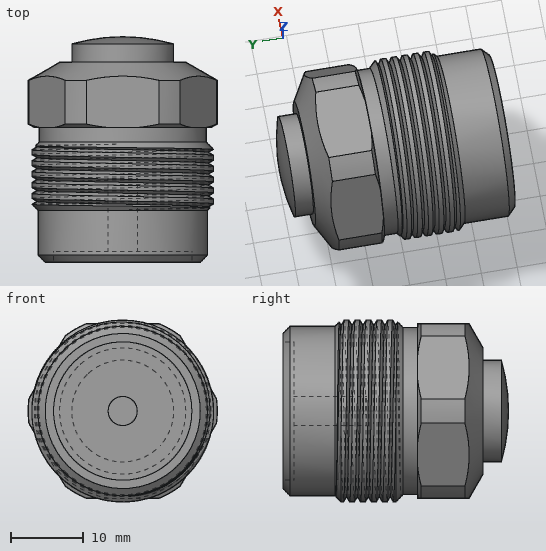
import cadquery as cq
import math


FRONT_CHAMFER = 1.0
SKIRT_END = 7.15
NECK_START = 16.5
HEX_START = 18.5
HEX_LOWER_CORNER = 19.0
HEX_UPPER_CORNER = 25.0
HEX_END = 27.5
BOSS_END = 30.0
OVERALL_LENGTH = 31.0

SKIRT_RADIUS = 11.65
THREAD_RADIUS = 12.5
NECK_RADIUS = 11.5
HEX_CORNER_RADIUS = 13.0
BOSS_RADIUS = 7.0

HEX_SIDES = 6
ACROSS_FLATS = 24.0
HEX_BEVEL_ANGLE = 30.0

PITCH = 1.5
THREAD_TURNS = 7
GROOVE_WIDTH = 0.85
GROOVE_HALF_ANGLE = 30.0
GROOVE_START = 6.12
GROOVE_OVERCUT = 0.2

RECESS_RADIUS = 9.5
RECESS_DEPTH = 1.5
HOLE_RADIUS = 2.0
HOLE_DEPTH = 10.0


def revolve_about_y(outline):
    """Close a half outline and turn it a full revolution about the Y axis."""
    return outline.close().revolve(360, (0, 0, 0), (0, 1, 0))


def make_body():
    """Revolved skirt, threaded blank and neck, up to the hexagon, with 45 degree lead-ins."""
    crest_start = SKIRT_END + THREAD_RADIUS - SKIRT_RADIUS
    crest_end = NECK_START - (THREAD_RADIUS - NECK_RADIUS)
    profile = [
        (0, 0),
        (SKIRT_RADIUS - FRONT_CHAMFER, 0),
        (SKIRT_RADIUS, FRONT_CHAMFER),
        (SKIRT_RADIUS, SKIRT_END),
        (THREAD_RADIUS, crest_start),
        (THREAD_RADIUS, crest_end),
        (NECK_RADIUS, NECK_START),
        (NECK_RADIUS, HEX_START),
        (0, HEX_START),
    ]
    return revolve_about_y(cq.Workplane("XY").polyline(profile))


def make_hex():
    """Hexagon with flats facing +Z and -Z, trimmed by a bevelled turned blank."""
    bevel_run = 1 / math.tan(math.radians(HEX_BEVEL_ANGLE))
    lower_radius = HEX_CORNER_RADIUS - (HEX_LOWER_CORNER - HEX_START) * bevel_run
    upper_radius = HEX_CORNER_RADIUS - (HEX_END - HEX_UPPER_CORNER) * bevel_run
    profile = [
        (0, HEX_START),
        (lower_radius, HEX_START),
        (HEX_CORNER_RADIUS, HEX_LOWER_CORNER),
        (HEX_CORNER_RADIUS, HEX_UPPER_CORNER),
        (upper_radius, HEX_END),
        (0, HEX_END),
    ]
    blank = revolve_about_y(cq.Workplane("XY").polyline(profile))
    across_corners = ACROSS_FLATS / math.cos(math.pi / HEX_SIDES)
    prism = (
        cq.Workplane("XZ", origin=(0, HEX_START, 0))
        .polygon(HEX_SIDES, across_corners)
        .extrude(-(HEX_END - HEX_START))
    )
    return blank.intersect(prism)


def make_boss():
    """Round boss with a spherical dome on its end."""
    dome_height = OVERALL_LENGTH - BOSS_END
    dome_radius = (BOSS_RADIUS**2 + dome_height**2) / (2 * dome_height)
    half_way = BOSS_RADIUS / 2
    half_way_y = OVERALL_LENGTH - dome_radius + math.sqrt(dome_radius**2 - half_way**2)
    outline = (
        cq.Workplane("XY")
        .moveTo(0, HEX_END)
        .lineTo(BOSS_RADIUS, HEX_END)
        .lineTo(BOSS_RADIUS, BOSS_END)
        .threePointArc((half_way, half_way_y), (0, OVERALL_LENGTH))
    )
    return revolve_about_y(outline)


def make_groove_turn(start):
    """One turn of the V-shaped left-hand groove, beginning at the axial position start."""
    slope = math.tan(math.radians(GROOVE_HALF_ANGLE))
    root_radius = THREAD_RADIUS - GROOVE_WIDTH / 2 / slope
    outer_radius = THREAD_RADIUS + GROOVE_OVERCUT
    half_width = (outer_radius - root_radius) * slope
    path = cq.Wire.makeHelix(PITCH, PITCH, root_radius, lefthand=True)
    turn = (
        cq.Workplane("XZ")
        .polyline([(root_radius, 0), (outer_radius, half_width), (outer_radius, -half_width)])
        .close()
        .sweep(path, isFrenet=True)
    )
    return turn.rotate((0, 0, 0), (1, 0, 0), -90).translate((0, start, 0))


def cut_thread(body):
    """Cut the groove turn by turn; its root stays outside the skirt and the neck."""
    for turn_index in range(THREAD_TURNS):
        body = body.cut(make_groove_turn(GROOVE_START + turn_index * PITCH))
    return body


def make_bore():
    """Shallow front recess with the blind centre hole in its floor."""
    recess = cq.Workplane("XZ").circle(RECESS_RADIUS).extrude(-RECESS_DEPTH)
    hole = cq.Workplane("XZ").circle(HOLE_RADIUS).extrude(-(RECESS_DEPTH + HOLE_DEPTH))
    return recess.union(hole)


threaded_body = cut_thread(make_body())
result = threaded_body.union(make_hex()).union(make_boss()).cut(make_bore())